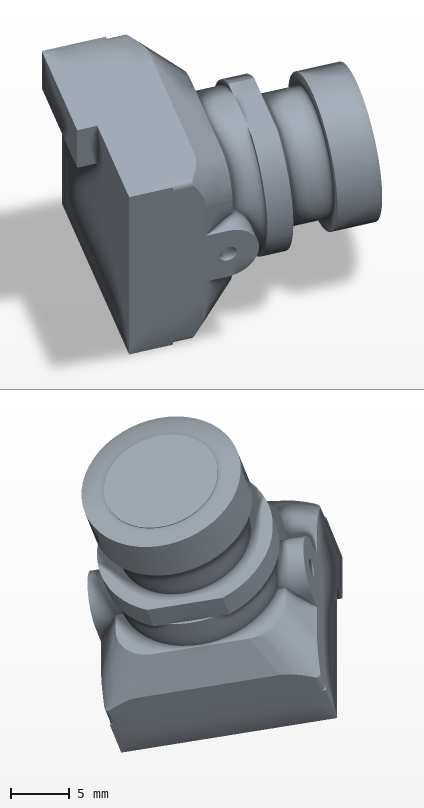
import cadquery as cq

SIDE = 19.0
HALF = SIDE / 2

REAR_BLOCK_BACK = 1.8
BOARD_BACK = 4.6
BOARD_FRONT = 5.72
SHOULDER = 8.68
HOUSING_FACE = 11.66
NECK_FRONT = 14.72
FLANGE_FRONT = 17.03
BARREL_FRONT = 21.2
HEAD_FRONT = 25.2
GLASS_FRONT = 25.3

CONNECTOR_WIDTH = 10.0
CONNECTOR_HEIGHT = 4.53

BODY_CORNER_RADIUS = 0.5
SLOPE_CORNER_RADIUS = 3.25
FACE_HALF = 7.46
NECK_RADIUS = 7.25
EAR_RADIUS = 2.75
EAR_AXIS_Y = 10.65
EAR_HOLE_DIAMETER = 1.6
EAR_HOLE_DEPTH = 1.52

FLANGE_RADIUS = 7.75
FLANGE_FLAT_DISTANCE = 14.0
BARREL_RADIUS = 5.82
HEAD_RADIUS = 7.0
GLASS_RADIUS = 5.0


def section_plane(y):
    """Plane across the lens axis, facing +Y, with its local y axis along Z."""
    return cq.Plane(origin=(0, y, 0), xDir=(-1, 0, 0), normal=(0, 1, 0))


def square_block(back, front):
    return cq.Workplane(section_plane(back)).rect(SIDE, SIDE).extrude(front - back)


def disc(radius, back, front):
    return cq.Workplane(section_plane(back)).circle(radius).extrude(front - back)


def rounded_square(half):
    """Square with large corner arcs, the section of the sloped shell."""
    return cq.Sketch().rect(2 * half, 2 * half).vertices().fillet(SLOPE_CORNER_RADIUS)


def make_connector():
    return cq.Workplane("XY").box(
        CONNECTOR_WIDTH, BOARD_BACK, CONNECTOR_HEIGHT, centered=False
    ).translate((-HALF, 0, HALF - CONNECTOR_HEIGHT))


def make_rear_block(connector):
    """Square block notched at one upper corner to seat the connector."""
    return square_block(REAR_BLOCK_BACK, BOARD_BACK).cut(connector)


def make_board():
    return square_block(BOARD_BACK, BOARD_FRONT)


def make_sloped_body():
    """Square body trimmed by a sloped shell whose corner radius stays constant."""
    body = square_block(BOARD_FRONT, HOUSING_FACE).edges("|Y").fillet(BODY_CORNER_RADIUS)
    slope = (HALF - FACE_HALF) / (HOUSING_FACE - SHOULDER)
    length = HOUSING_FACE - BOARD_FRONT
    base_half = FACE_HALF + slope * length
    base = rounded_square(base_half)
    face = rounded_square(FACE_HALF).moved(cq.Location(cq.Vector(0, 0, length)))
    shell = cq.Workplane(section_plane(BOARD_FRONT)).placeSketch(base, face).loft()
    return body.intersect(shell)


def make_ears():
    """Round-ended bar across the housing; its two ends form the mounting ears."""
    bar = cq.Workplane("YZ").center(EAR_AXIS_Y, 0).circle(EAR_RADIUS).extrude(HALF, both=True)
    root_length = EAR_AXIS_Y - BOARD_FRONT
    root = cq.Workplane("XY").box(SIDE, root_length, 2 * EAR_RADIUS)
    return bar.union(root.translate((0, BOARD_FRONT + root_length / 2, 0)))


def make_housing():
    housing = make_sloped_body().union(make_ears())
    housing = housing.union(disc(NECK_RADIUS, HOUSING_FACE, NECK_FRONT))
    for side in (-1, 1):
        hole = cq.Solid.makeCylinder(
            EAR_HOLE_DIAMETER / 2,
            EAR_HOLE_DEPTH,
            cq.Vector(side * HALF, EAR_AXIS_Y, 0),
            cq.Vector(-side, 0, 0),
        )
        housing = housing.cut(cq.Workplane(hole))
    return housing


def make_lens():
    """Flange with two flats, barrel, head and the slightly raised front glass."""
    flats = cq.Workplane(section_plane(NECK_FRONT)).rect(2 * FLANGE_RADIUS, FLANGE_FLAT_DISTANCE)
    flats = flats.extrude(FLANGE_FRONT - NECK_FRONT)
    lens = disc(FLANGE_RADIUS, NECK_FRONT, FLANGE_FRONT).intersect(flats)
    lens = lens.union(disc(BARREL_RADIUS, FLANGE_FRONT, BARREL_FRONT))
    lens = lens.union(disc(HEAD_RADIUS, BARREL_FRONT, HEAD_FRONT))
    return lens.union(disc(GLASS_RADIUS, HEAD_FRONT, GLASS_FRONT))


connector = make_connector()
rear_block = make_rear_block(connector)
board = make_board()
housing = make_housing()
lens = make_lens()

result = cq.Compound.makeCompound(
    [connector.val(), rear_block.val(), board.val(), housing.val(), lens.val()]
)